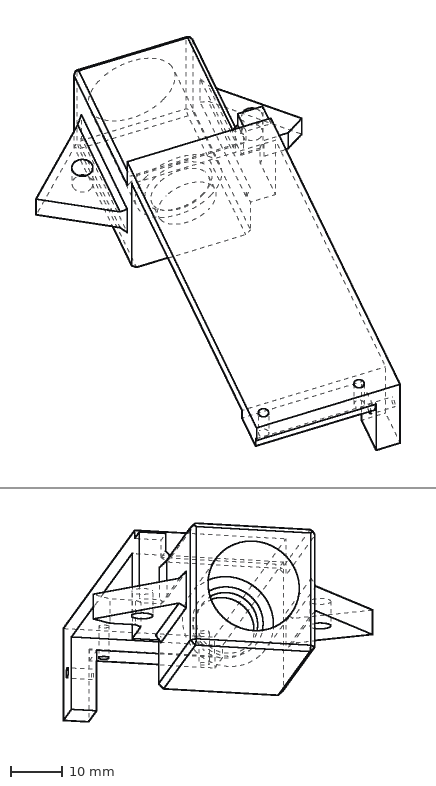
import cadquery as cq


total_length = 100.5
total_width = 55.7
total_height = 31.3

body_side = 24.8
half_side = body_side / 2
edge_chamfer = 1.0
root_chamfer = 1.2
wall_front_x = 30.0
body_end_x = 32.5

arm_top_z = total_height - half_side
arm_thickness = 4.0
arm_width = 30.0
arm_right_y = -half_side
arm_left_y = arm_right_y + arm_width
end_block_length = 8.0
end_block_start_x = total_length - end_block_length
low_block_setback = 0.5
ear_thickness = 5.0
ear_bottom_z = 0.1

small_hole_diameter = 2.0
arm_hole_x = 97.5
arm_hole_spacing = 20.0
arm_hole_mid_y = 0.2
ear_hole_x = 96.7
ear_hole_z = 8.7

post_front_x = 25.5
post_top_z = 17.2

lug_thickness = 5.0
lug_half = lug_thickness / 2
lug_start_x = 5.0
lug_tip_y = total_width / 2
lug_tip_x = lug_start_x + lug_tip_y - half_side
lug_trim_x = 22.8
lug_trim_chamfer = 1.3
lug_hole_diameter = 4.1
lug_hole_x = 16.5
lug_hole_ys = (18.9, -16.6)

bore_diameter = 18.2
bore_depth = 25.5
pocket_diameter = 12.3
pocket_chamfer = 0.9
pocket_floor_x = wall_front_x


def box(x_range, y_range, z_range):
    """Block between two limits on each axis."""
    sizes = [limits[1] - limits[0] for limits in (x_range, y_range, z_range)]
    origin = (x_range[0], y_range[0], z_range[0])
    return cq.Workplane("XY").box(*sizes, centered=False).translate(origin)


def prism_along_x(points_yz, start_x, end_x):
    return cq.Workplane("YZ", origin=(start_x, 0, 0)).polyline(points_yz).close().extrude(end_x - start_x)


def prism_along_y(points_xz, start_y, end_y):
    return cq.Workplane("XZ", origin=(0, end_y, 0)).polyline(points_xz).close().extrude(end_y - start_y)


def prism_along_z(points_xy, start_z, end_z):
    return cq.Workplane("XY", origin=(0, 0, start_z)).polyline(points_xy).close().extrude(end_z - start_z)


def corner(first, second, leg_first, leg_second):
    """Right triangle at a corner point, with signed legs along both axes."""
    return [(first, second), (first + leg_first, second), (first, second + leg_second)]


def make_body():
    body = box((0, body_end_x), (-half_side, half_side), (-half_side, half_side))
    return body.edges("<X or (|X and <Z)").chamfer(edge_chamfer)


def make_arm():
    low_block_end_x = total_length - low_block_setback
    wall = box((wall_front_x, body_end_x), (arm_right_y, half_side), (0, arm_top_z))
    plate = box(
        (wall_front_x, total_length),
        (arm_right_y, arm_left_y),
        (arm_top_z - arm_thickness, arm_top_z),
    )
    low_block = box(
        (end_block_start_x, low_block_end_x),
        (arm_right_y, arm_left_y),
        (half_side, arm_top_z),
    )
    ear = box(
        (end_block_start_x, total_length),
        (arm_left_y - ear_thickness, arm_left_y),
        (ear_bottom_z, arm_top_z),
    )
    wall_filling = prism_along_y(
        corner(wall_front_x, half_side, -root_chamfer, root_chamfer), arm_right_y, half_side
    )
    return plate.union(wall).union(low_block).union(ear).union(wall_filling)


def make_post():
    """Post and wall extension beside the body, with fillings against body and lug."""
    post = box((post_front_x, wall_front_x), (half_side, arm_left_y), (-lug_half, post_top_z))
    wall = box((wall_front_x, body_end_x), (half_side, arm_left_y), (-lug_half, arm_top_z))
    top_filling = prism_along_x(
        corner(half_side, half_side, -root_chamfer, root_chamfer), post_front_x, wall_front_x
    )
    side_filling = prism_along_z(
        corner(post_front_x, half_side, -root_chamfer, root_chamfer), -lug_half, half_side
    )
    lug_filling = prism_along_y(
        corner(post_front_x, lug_half, -root_chamfer, root_chamfer), half_side, arm_left_y
    )
    return post.union(wall).union(top_filling).union(side_filling).union(lug_filling)


def make_lug(side):
    """Triangular lug on the side +1 or -1 of Y, thickened where it meets the body."""
    outline = [
        (lug_start_x, side * half_side),
        (wall_front_x, side * half_side),
        (lug_tip_x, side * lug_tip_y),
    ]
    section = [
        (side * half_side, -lug_half - root_chamfer),
        (side * half_side, lug_half + root_chamfer),
        (side * (half_side + root_chamfer), lug_half),
        (side * lug_tip_y, lug_half),
        (side * lug_tip_y, -lug_half),
        (side * (half_side + root_chamfer), -lug_half),
    ]
    column = prism_along_z(outline, -half_side, half_side)
    return column.intersect(prism_along_x(section, lug_start_x, wall_front_x))


def lug_trim():
    """Clearance beside the post that cuts back the rear edge of the +Y lug."""
    outline = [
        (lug_trim_x, lug_tip_y),
        (lug_trim_x, arm_left_y + lug_trim_chamfer),
        (lug_trim_x + lug_trim_chamfer, arm_left_y),
        (body_end_x, arm_left_y),
        (body_end_x, lug_tip_y),
    ]
    return prism_along_z(outline, -half_side, half_side)


def top_edge_cut(side, end_x):
    """45 degree bevel of a top side edge, reaching past the body through the fillings."""
    inner_y = half_side - edge_chamfer - root_chamfer
    outer_y = half_side + root_chamfer
    outline = [
        (side * inner_y, half_side + root_chamfer),
        (side * outer_y, half_side - edge_chamfer - root_chamfer),
        (side * outer_y, half_side + root_chamfer),
    ]
    return prism_along_x(outline, 0, end_x)


def make_bore():
    bore_radius = bore_diameter / 2
    pocket_radius = pocket_diameter / 2
    half_section = [
        (0, 0),
        (0, -bore_radius),
        (bore_depth, -bore_radius),
        (bore_depth, -pocket_radius - pocket_chamfer),
        (bore_depth + pocket_chamfer, -pocket_radius),
        (pocket_floor_x, -pocket_radius),
        (pocket_floor_x, 0),
    ]
    return cq.Workplane("XZ").polyline(half_section).close().revolve(360, (0, 0, 0), (1, 0, 0))


def vertical_hole(x, y, diameter):
    return cq.Workplane("XY", origin=(x, y, -half_side)).circle(diameter / 2).extrude(arm_top_z + half_side)


def ear_hole():
    plane = cq.Workplane("XZ", origin=(ear_hole_x, arm_left_y, ear_hole_z))
    return plane.circle(small_hole_diameter / 2).extrude(ear_thickness)


result = make_body().union(make_arm()).union(make_lug(1)).cut(lug_trim())
result = result.union(make_lug(-1)).union(make_post())
result = result.cut(top_edge_cut(1, post_front_x)).cut(top_edge_cut(-1, wall_front_x))
result = result.cut(make_bore()).cut(ear_hole())
for hole_y in lug_hole_ys:
    result = result.cut(vertical_hole(lug_hole_x, hole_y, lug_hole_diameter))
for direction in (-1, 1):
    arm_hole_y = arm_hole_mid_y + direction * arm_hole_spacing / 2
    result = result.cut(vertical_hole(arm_hole_x, arm_hole_y, small_hole_diameter))